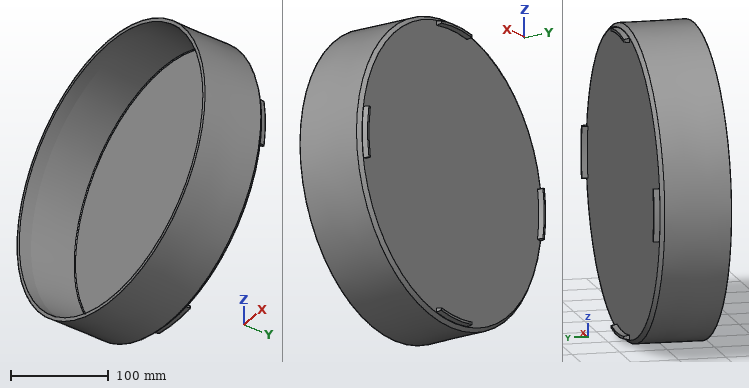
import cadquery as cq

outer_radius = 165.0
back_radius = 164.5
overall_depth = 80.0
foot_height = 6.0
back_chamfer = 4.0

mouth_radius = 161.0
mouth_depth = 15.2
floor_radius = 156.5
floor_chamfer = 1.0
floor_depth = 67.5

foot_count = 4
foot_radius = 157.5
foot_base_width = 5.0
foot_top_width = 2.5
foot_arc_angle = 20.0
foot_embed = 1.5

front_y = -overall_depth / 2
foot_top_y = overall_depth / 2
back_y = foot_top_y - foot_height


def revolve_about_y(profile, angle=360.0):
    """Revolve a closed (radius, y) profile about the Y axis."""
    return cq.Workplane("XY").polyline(profile).close().revolve(angle, (0, 0, 0), (0, 1, 0))


def make_tray():
    floor_y = front_y + floor_depth
    return revolve_about_y([
        (mouth_radius, front_y),
        (outer_radius, front_y),
        (back_radius, back_y - back_chamfer),
        (back_radius - back_chamfer, back_y),
        (0, back_y),
        (0, floor_y),
        (floor_radius, floor_y),
        (floor_radius + floor_chamfer, floor_y - floor_chamfer),
        (mouth_radius, front_y + mouth_depth),
    ])


def make_foot(center_angle):
    """Arc rib centred on the given angle; its base is sunk slightly into the back."""
    half_base = foot_base_width / 2
    half_top = foot_top_width / 2
    section = [
        (foot_radius - half_base, back_y - foot_embed),
        (foot_radius + half_base, back_y - foot_embed),
        (foot_radius + half_base, back_y),
        (foot_radius + half_top, foot_top_y),
        (foot_radius - half_top, foot_top_y),
        (foot_radius - half_base, back_y),
    ]
    foot = revolve_about_y(section, foot_arc_angle)
    return foot.rotate((0, 0, 0), (0, 1, 0), center_angle - foot_arc_angle / 2)


result = make_tray()
for index in range(foot_count):
    result = result.union(make_foot(index * 360 / foot_count))